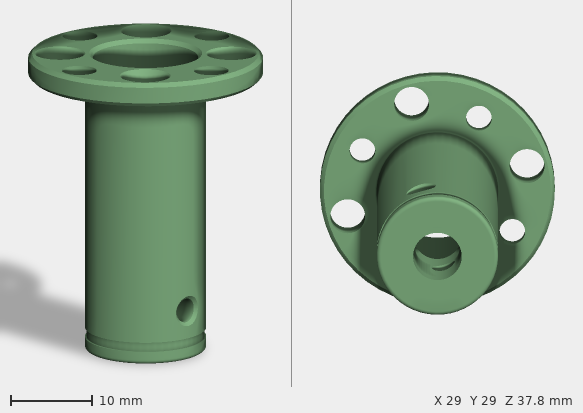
import cadquery as cq

TOTAL_HEIGHT = 37.75
FLANGE_DIAMETER = 29.0
FLANGE_THICKNESS = 3.0
TUBE_DIAMETER = 15.0
EDGE_CHAMFER = 0.5
NECK_FILLET = 0.23
FOOT_FILLET = 0.5

GROOVE_BOTTOM = 1.6
GROOVE_WIDTH = 1.17
GROOVE_DEPTH = 0.23

SOCKET_DIAMETER = 13.0
SOCKET_DEPTH = 5.62
SOCKET_CHAMFER_ANGLE = 90.0
BORE_DIAMETER = 11.02
BORE_DEPTH = 25.0
BORE_TIP_ANGLE = 118.0
THROUGH_DIAMETER = 6.0

PLAIN_HOLE_DIAMETER = 4.3
PLAIN_HOLE_RADIUS = 11.5
SCREW_HOLE_DIAMETER = 3.17
SCREW_HEAD_DIAMETER = 6.25
SCREW_HOLE_OFFSET = 7.47
COUNTERSINK_ANGLE = 90.0

PIN_HOLE_DIAMETER = 3.0
PIN_HOLE_HEIGHT = 6.23
PIN_CHAMFER = 0.4


def make_body():
    """Flanged shaft standing on Z = 0, with its edges broken."""
    flange_bottom = TOTAL_HEIGHT - FLANGE_THICKNESS
    tube = cq.Workplane("XY").circle(TUBE_DIAMETER / 2).extrude(TOTAL_HEIGHT)
    tube = tube.faces("<Z").edges().fillet(FOOT_FILLET)
    flange = (
        cq.Workplane("XY", origin=(0, 0, flange_bottom))
        .circle(FLANGE_DIAMETER / 2)
        .extrude(FLANGE_THICKNESS)
        .edges()
        .chamfer(EDGE_CHAMFER)
    )
    neck_edge = cq.selectors.RadiusNthSelector(0)
    body = tube.union(flange)
    return body.faces("<Z[-2]").edges(neck_edge).fillet(NECK_FILLET)


def make_groove():
    """Ring that cuts the groove around the shaft."""
    return (
        cq.Workplane("XY", origin=(0, 0, GROOVE_BOTTOM))
        .circle(FLANGE_DIAMETER / 2)
        .circle(TUBE_DIAMETER / 2 - GROOVE_DEPTH)
        .extrude(GROOVE_WIDTH)
    )


def cut_bore(body):
    """Chamfered socket, a conical-bottomed bore below it and a through hole."""
    socket_rim_diameter = SOCKET_DIAMETER + 2 * EDGE_CHAMFER
    socketed = (
        body.copyWorkplane(cq.Workplane("XY", origin=(0, 0, TOTAL_HEIGHT)))
        .cskHole(SOCKET_DIAMETER, socket_rim_diameter, SOCKET_CHAMFER_ANGLE, depth=SOCKET_DEPTH)
    )
    bore_floor = TOTAL_HEIGHT - BORE_DEPTH
    wide_bore = (
        cq.Workplane("XY", origin=(0, 0, bore_floor))
        .circle(BORE_DIAMETER / 2)
        .extrude(BORE_DEPTH)
    )
    return (
        socketed.cut(wide_bore)
        .copyWorkplane(cq.Workplane("XY", origin=(0, 0, bore_floor)))
        .cskHole(THROUGH_DIAMETER, BORE_DIAMETER, BORE_TIP_ANGLE)
    )


def cut_flange_holes(body):
    """Four plain holes on the axes and four countersunk holes between them."""
    flange_top = cq.Workplane("XY", origin=(0, 0, TOTAL_HEIGHT))
    screw_spacing = 2 * SCREW_HOLE_OFFSET
    return (
        body.copyWorkplane(flange_top)
        .polarArray(PLAIN_HOLE_RADIUS, 0, 360, 4)
        .hole(PLAIN_HOLE_DIAMETER)
        .copyWorkplane(flange_top)
        .rarray(screw_spacing, screw_spacing, 2, 2)
        .cskHole(SCREW_HOLE_DIAMETER, SCREW_HEAD_DIAMETER, COUNTERSINK_ANGLE, depth=FLANGE_THICKNESS)
    )


def cut_pin_hole(body):
    """Cross hole through both walls, with a chamfer that follows each curved outer rim."""
    tube_radius = TUBE_DIAMETER / 2
    pin = (
        cq.Workplane("YZ", origin=(-tube_radius, 0, PIN_HOLE_HEIGHT))
        .circle(PIN_HOLE_DIAMETER / 2)
        .extrude(TUBE_DIAMETER)
    )
    drilled = body.cut(pin)
    rim_depth = tube_radius - BORE_DIAMETER / 2
    for side in (-1, 1):
        rim_zone = cq.selectors.BoxSelector(
            (side * (tube_radius - rim_depth), -PIN_HOLE_DIAMETER, PIN_HOLE_HEIGHT - PIN_CHAMFER),
            (side * (tube_radius + rim_depth), PIN_HOLE_DIAMETER, PIN_HOLE_HEIGHT + PIN_CHAMFER),
        )
        drilled = drilled.edges(rim_zone).chamfer(PIN_CHAMFER)
    return drilled


result = make_body().cut(make_groove())
result = cut_bore(result)
result = cut_flange_holes(result)
result = cut_pin_hole(result)